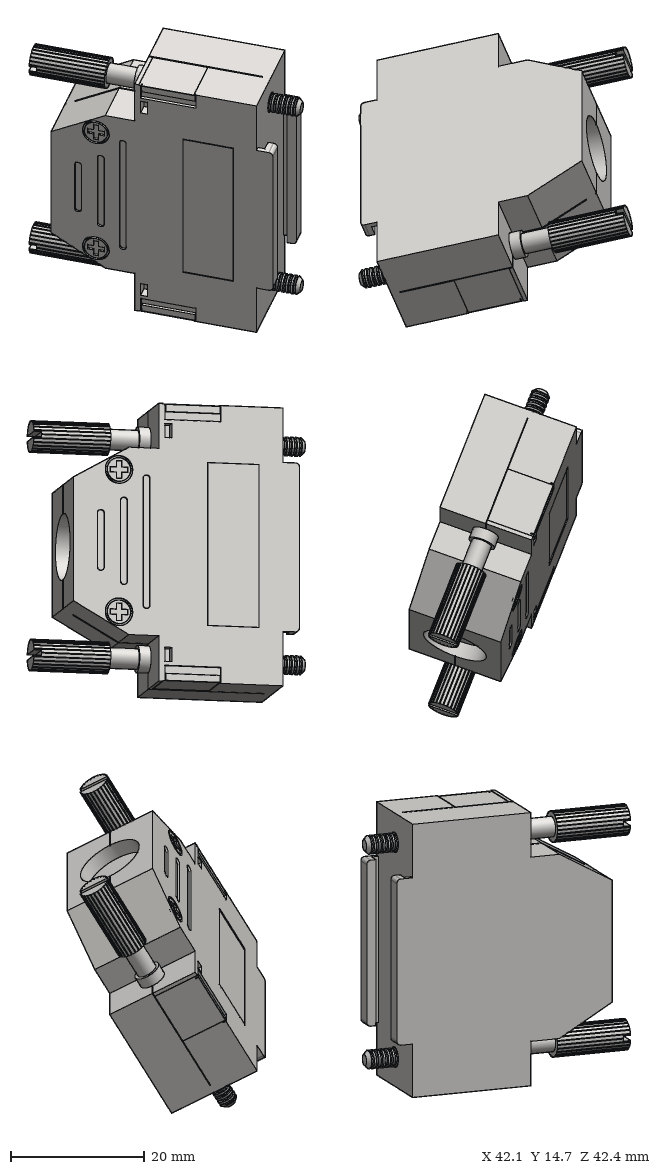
import cadquery as cq

THICKNESS = 14.7
BLOCK_LENGTH = 19.15
BLOCK_HEIGHT = 42.4
NOSE_END = -13.15
NOSE_HALF_HEIGHT = 9.45
SHOULDER_START = -4.62
SHOULDER_HALF_HEIGHT = 14.3

FRONT_Y = -THICKNESS / 2
BLOCK_TOP = BLOCK_HEIGHT / 2

FLANGE_REACH = 2.55
FLANGE_HEIGHT = 25.8
FLANGE_CORNER = 0.65
FLANGE_WALL = 0.75
LIP_DEPTH = 2.45
LIP_THICKNESS = 1.5

CABLE_DIAMETER = 10.1
CABLE_DEPTH = 2.45

SEAM_WIDTH = 0.1
SEAM_DEPTH = 0.13
SEAM_END_X = 17.8
SLOPE_SEAM_START = 1.55

LABEL_START_X = 7.55
LABEL_LENGTH = 7.9
LABEL_HEIGHT = 24.85
LABEL_DEPTH = 0.15

GRIP_SLOTS = [(-8.9, 9.25), (-5.35, 13.3), (-1.85, 20.35)]
GRIP_WIDTH = 1.05
GRIP_DEPTH = 0.35

CROSS_X = -6.1
CROSS_Z = 10.85
CROSS_RECESS_DIAMETER = 4.2
CROSS_HEAD_DIAMETER = 3.6
CROSS_SPAN = 2.67
CROSS_ARM = 0.8
CROSS_DEPTH = 0.35

LATCH_START_X = 0.95
LATCH_LENGTH = 8.65
LATCH_TOP = 21.05
LATCH_BOTTOM = 18.75
LATCH_DEPTH = 0.5
LATCH_TAB_BOTTOM = 20.0
LATCH_TAB_GAP = 0.15
LATCH_TAB_SETBACK = 0.05
STRAP_START_X = 0.65
STRAP_LENGTH = 8.65
STRAP_DEPTH = 0.1
WINDOW_LENGTH = 1.05
WINDOW_TOP = 18.15
WINDOW_BOTTOM = 16.0
WINDOW_DEPTH = 1.7

SCREW_Z = 16.65
KNOB_START = -18.1
KNOB_END = -6.28
KNOB_DIAMETER = 4.8
KNURL_COUNT = 24
KNURL_WIDTH = 0.13
KNURL_DEPTH = 0.1
DRIVER_SLOT_WIDTH = 0.8
DRIVER_SLOT_DEPTH = 1.2
SHANK_DIAMETER = 3.15
COLLAR_START = -1.75
COLLAR_DIAMETER = 4.1
THREAD_DIAMETER = 2.9
THREAD_ROOT_DIAMETER = 2.55
THREAD_PITCH = 0.75
THREAD_CREST = 0.3
THREAD_ROOT = 0.2
THREAD_GROOVES = 6
SCREW_END = 24.0
TIP_DIAMETER = 1.75


def box(x_range, y_range, z_range):
    """Axis-aligned box spanning the three given (start, end) ranges."""
    sizes = [end - start for start, end in (x_range, y_range, z_range)]
    corner = (x_range[0], y_range[0], z_range[0])
    return cq.Workplane("XY").box(*sizes, centered=False).translate(corner)


def from_front(depth):
    """Y range of a recess of the given depth in the front face."""
    return FRONT_Y, FRONT_Y + depth


def front_plane(y):
    """Sketch plane parallel to the front face; extruding goes into the housing."""
    return cq.Workplane("XZ", origin=(0, y, 0))


def mirrored_in_z(shape):
    """The shape together with its mirror image across Z = 0."""
    return shape.union(shape.mirror("XY"))


def shell_block():
    upper = [
        (BLOCK_LENGTH, BLOCK_TOP),
        (0, BLOCK_TOP),
        (0, SHOULDER_HALF_HEIGHT),
        (SHOULDER_START, SHOULDER_HALF_HEIGHT),
        (NOSE_END, NOSE_HALF_HEIGHT),
    ]
    lower = [(x, -z) for x, z in reversed(upper)]
    return front_plane(0).polyline(upper + lower).close().extrude(THICKNESS / 2, both=True)


def connector_flanges():
    flange_end = BLOCK_LENGTH + FLANGE_REACH
    half_height = FLANGE_HEIGHT / 2
    inner_y = THICKNESS / 2 - FLANGE_WALL
    lip_y = THICKNESS / 2 - LIP_DEPTH
    z_range = (-half_height, half_height)
    plate = box((BLOCK_LENGTH, flange_end), (-THICKNESS / 2, THICKNESS / 2), z_range)
    plate = plate.edges(">X and |Y").fillet(FLANGE_CORNER)
    lip_opening = box((BLOCK_LENGTH, flange_end), (-lip_y, lip_y), z_range)
    hook_space = box((BLOCK_LENGTH, flange_end - LIP_THICKNESS), (-inner_y, inner_y), z_range)
    return plate.cut(lip_opening).cut(hook_space)


def cable_entry():
    entry = cq.Workplane("YZ", origin=(NOSE_END, 0, 0))
    return entry.circle(CABLE_DIAMETER / 2).extrude(CABLE_DEPTH)


def seam_grooves():
    y_range = (-SEAM_WIDTH / 2, SEAM_WIDTH / 2)
    shoulder_floor = SHOULDER_HALF_HEIGHT - SEAM_DEPTH
    nose = box((NOSE_END, NOSE_END + SEAM_DEPTH), y_range, (-NOSE_HALF_HEIGHT, NOSE_HALF_HEIGHT))
    shoulder = box((SHOULDER_START, 0), y_range, (shoulder_floor, SHOULDER_HALF_HEIGHT))
    rear = box((0, SEAM_DEPTH), y_range, (SHOULDER_HALF_HEIGHT, BLOCK_TOP))
    top = box((0, SEAM_END_X), y_range, (BLOCK_TOP - SEAM_DEPTH, BLOCK_TOP))

    rise = (SHOULDER_HALF_HEIGHT - NOSE_HALF_HEIGHT) / (SHOULDER_START - NOSE_END)
    start_x = NOSE_END + SLOPE_SEAM_START
    start_z = NOSE_HALF_HEIGHT + SLOPE_SEAM_START * rise
    slope = (
        front_plane(0)
        .moveTo(start_x, start_z)
        .lineTo(SHOULDER_START, SHOULDER_HALF_HEIGHT)
        .lineTo(SHOULDER_START, shoulder_floor)
        .lineTo(start_x, start_z - SEAM_DEPTH)
        .close()
        .extrude(SEAM_WIDTH / 2, both=True)
    )
    return nose.union(mirrored_in_z(shoulder.union(rear).union(top).union(slope)))


def label_recess():
    x_range = (LABEL_START_X, LABEL_START_X + LABEL_LENGTH)
    return box(x_range, from_front(LABEL_DEPTH), (-LABEL_HEIGHT / 2, LABEL_HEIGHT / 2))


def grip_slot(center_x, height):
    floor = front_plane(FRONT_Y + GRIP_DEPTH).center(center_x, 0)
    return floor.slot2D(height, GRIP_WIDTH, angle=90).extrude(GRIP_DEPTH)


def cross_head_recess():
    floor = front_plane(FRONT_Y + CROSS_DEPTH).center(CROSS_X, CROSS_Z)
    ring = floor.circle(CROSS_RECESS_DIAMETER / 2).circle(CROSS_HEAD_DIAMETER / 2).extrude(CROSS_DEPTH)
    level_arm = floor.rect(CROSS_SPAN, CROSS_ARM).extrude(CROSS_DEPTH)
    upright_arm = floor.rect(CROSS_ARM, CROSS_SPAN).extrude(CROSS_DEPTH)
    return ring.union(level_arm).union(upright_arm)


def latch_recess():
    start_x = LATCH_START_X
    end_x = start_x + LATCH_LENGTH
    pocket = box((start_x, end_x), from_front(LATCH_DEPTH), (LATCH_BOTTOM, LATCH_TOP))
    tab = box(
        (start_x + LATCH_TAB_GAP, end_x - LATCH_TAB_GAP),
        (FRONT_Y + LATCH_TAB_SETBACK, FRONT_Y + LATCH_DEPTH),
        (LATCH_TAB_BOTTOM, LATCH_TOP),
    )
    strap_floor = BLOCK_TOP - STRAP_DEPTH
    strap = box((STRAP_START_X, STRAP_START_X + STRAP_LENGTH), (FRONT_Y, 0), (strap_floor, BLOCK_TOP))
    window = box((start_x, start_x + WINDOW_LENGTH), from_front(WINDOW_DEPTH), (WINDOW_BOTTOM, WINDOW_TOP))
    return pocket.cut(tab).union(strap).union(window)


def screw_hole():
    hole = cq.Workplane("YZ").center(0, SCREW_Z)
    return hole.circle(SHANK_DIAMETER / 2).extrude(BLOCK_LENGTH)


def make_housing():
    body = shell_block().union(connector_flanges())
    body = body.cut(cable_entry()).cut(seam_grooves()).cut(label_recess())
    for center_x, height in GRIP_SLOTS:
        body = body.cut(grip_slot(center_x, height))
    for feature in (cross_head_recess(), latch_recess(), screw_hole()):
        body = body.cut(feature).cut(feature.mirror("XY"))
    return body


def screw_profile():
    """Half section of the screw as (X, radius) points, from the knob to the tip."""
    points = [
        (KNOB_START, 0),
        (KNOB_START, KNOB_DIAMETER / 2),
        (KNOB_END, KNOB_DIAMETER / 2),
        (KNOB_END, SHANK_DIAMETER / 2),
        (COLLAR_START, SHANK_DIAMETER / 2),
        (COLLAR_START, COLLAR_DIAMETER / 2),
        (0, COLLAR_DIAMETER / 2),
        (0, SHANK_DIAMETER / 2),
        (BLOCK_LENGTH, SHANK_DIAMETER / 2),
    ]
    flank = (THREAD_PITCH - THREAD_CREST - THREAD_ROOT) / 2
    for turn in range(THREAD_GROOVES):
        crest_end = BLOCK_LENGTH + turn * THREAD_PITCH
        root_start = crest_end + flank
        root_end = root_start + THREAD_ROOT
        points += [
            (crest_end, THREAD_DIAMETER / 2),
            (root_start, THREAD_ROOT_DIAMETER / 2),
            (root_end, THREAD_ROOT_DIAMETER / 2),
            (root_end + flank, THREAD_DIAMETER / 2),
        ]
    points += [
        (SCREW_END, TIP_DIAMETER / 2),
        (SCREW_END, 0),
    ]
    return points


def knurl_grooves():
    groove = box(
        (KNOB_START, KNOB_END),
        (KNOB_DIAMETER / 2 - KNURL_DEPTH, KNOB_DIAMETER / 2 + KNURL_DEPTH),
        (-KNURL_WIDTH / 2, KNURL_WIDTH / 2),
    ).val()
    step = 360 / KNURL_COUNT
    axis_start = cq.Vector(0, 0, 0)
    axis_end = cq.Vector(1, 0, 0)
    return [groove.rotate(axis_start, axis_end, i * step) for i in range(KNURL_COUNT)]


def make_thumbscrew(center_z):
    screw = cq.Workplane("XY").polyline(screw_profile()).close().revolve(360, (0, 0, 0), (1, 0, 0))
    screw = screw.cut(cq.Compound.makeCompound(knurl_grooves()))
    driver_slot = box(
        (KNOB_START, KNOB_START + DRIVER_SLOT_DEPTH),
        (-KNOB_DIAMETER / 2, KNOB_DIAMETER / 2),
        (-DRIVER_SLOT_WIDTH / 2, DRIVER_SLOT_WIDTH / 2),
    )
    return screw.cut(driver_slot).translate((0, 0, center_z))


housing = make_housing()
thumbscrews = [make_thumbscrew(z) for z in (SCREW_Z, -SCREW_Z)]

result = cq.Compound.makeCompound([housing.val(), *[screw.val() for screw in thumbscrews]])